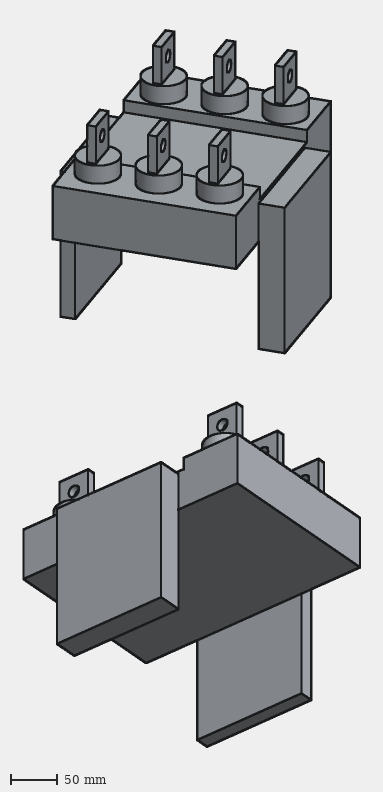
import cadquery as cq

block_width = 210.2
block_length = 296.0
block_bottom = 128.8
block_top = 192.7

channel_width = 147.0
channel_depth = 14.5

left_plate_thickness = 17.0
right_plate_thickness = 30.0
plate_length = 144.2
plate_height = 174.5
plate_offset_y = -5.3

terminal_columns = 3
terminal_rows = 2
terminal_pitch_x = 70.0
terminal_pitch_y = 205.5
base_diameter = 50.0
base_height = 21.5
blade_thickness = 10.0
blade_length = 40.0
overall_height = 259.0
blade_height = overall_height - block_top - base_height
hole_diameter = 14.0
hole_below_top = 20.0


def make_block():
    """Rectangular block with the channel cut through along X."""
    block = cq.Workplane("XY", origin=(0, 0, block_bottom)).rect(block_width, block_length)
    block = block.extrude(block_top - block_bottom)
    channel = cq.Workplane("XY", origin=(0, 0, block_top - channel_depth))
    channel = channel.rect(block_width, channel_width).extrude(channel_depth)
    return block.cut(channel)


def make_side_plate(thickness, side):
    """Upright plate against one X face of the block; side is -1 or +1."""
    center_x = side * (block_width + thickness) / 2
    plate = cq.Workplane("XY", origin=(center_x, plate_offset_y, 0))
    return plate.rect(thickness, plate_length).extrude(plate_height)


def make_terminal():
    """Terminal standing on the block top at X = Y = 0."""
    base = cq.Workplane("XY", origin=(0, 0, block_top)).circle(base_diameter / 2)
    base = base.extrude(base_height)
    blade = base.faces(">Z").workplane().rect(blade_thickness, blade_length)
    terminal = blade.extrude(blade_height)
    hole = cq.Workplane("YZ", origin=(-blade_thickness / 2, 0, overall_height - hole_below_top))
    hole = hole.circle(hole_diameter / 2).extrude(blade_thickness)
    return terminal.cut(hole)


result = make_block()
result = result.union(make_side_plate(left_plate_thickness, -1))
result = result.union(make_side_plate(right_plate_thickness, 1))

terminal = make_terminal()
for column in range(terminal_columns):
    for row in range(terminal_rows):
        x = (column - (terminal_columns - 1) / 2) * terminal_pitch_x
        y = (row - (terminal_rows - 1) / 2) * terminal_pitch_y
        result = result.union(terminal.translate((x, y, 0)))